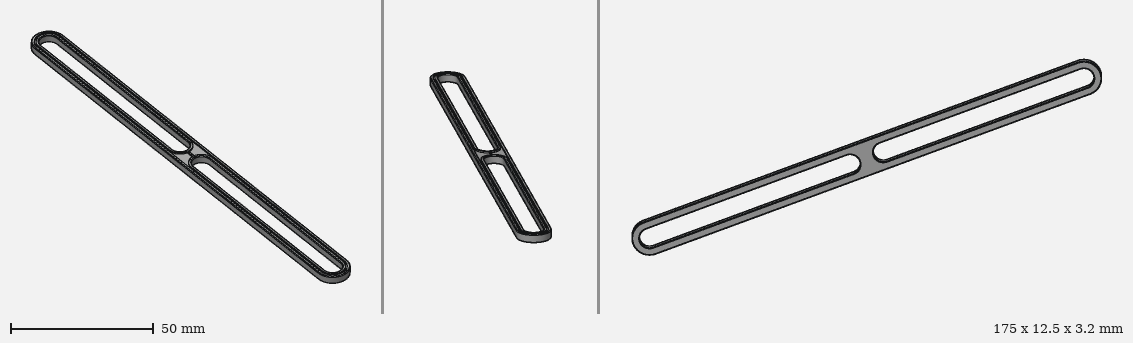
import cadquery as cq

length = 175.0
width = 12.5
thickness = 3.2

slot_width = 7.0
wall = (width - slot_width) / 2
web_width = 2 * wall
slot_length = (length - 2 * wall - web_width) / 2
slot_offset = (web_width + slot_length) / 2

edge_chamfer = 0.3

rim = 1.0
groove_depth = 0.5
rib_width = 0.5


def bar(inset, height):
    """Round-ended bar with its outline inset from the outer side."""
    return (
        cq.Workplane("XY")
        .slot2D(length - 2 * inset, width - 2 * inset)
        .extrude(height)
    )


def slot_pair(margin, height):
    """Both slots as solids, enlarged all round by a margin."""
    return (
        cq.Workplane("XY")
        .pushPoints([(-slot_offset, 0), (slot_offset, 0)])
        .slot2D(slot_length + 2 * margin, slot_width + 2 * margin)
        .extrude(height)
    )


def chamfered_frame():
    """Bar with the two slots cut through and its edges broken."""
    frame = bar(0, thickness).cut(slot_pair(0, thickness))
    return frame.faces("<Z or >Z").chamfer(edge_chamfer)


def groove():
    """Groove that follows the frame and spreads over the bridge, split by the rib."""
    channel = bar(rim, groove_depth).cut(slot_pair(rim, groove_depth))
    rib = cq.Workplane("XY").box(web_width, rib_width, 2 * groove_depth)
    return channel.cut(rib).translate((0, 0, thickness - groove_depth))


result = chamfered_frame().cut(groove())